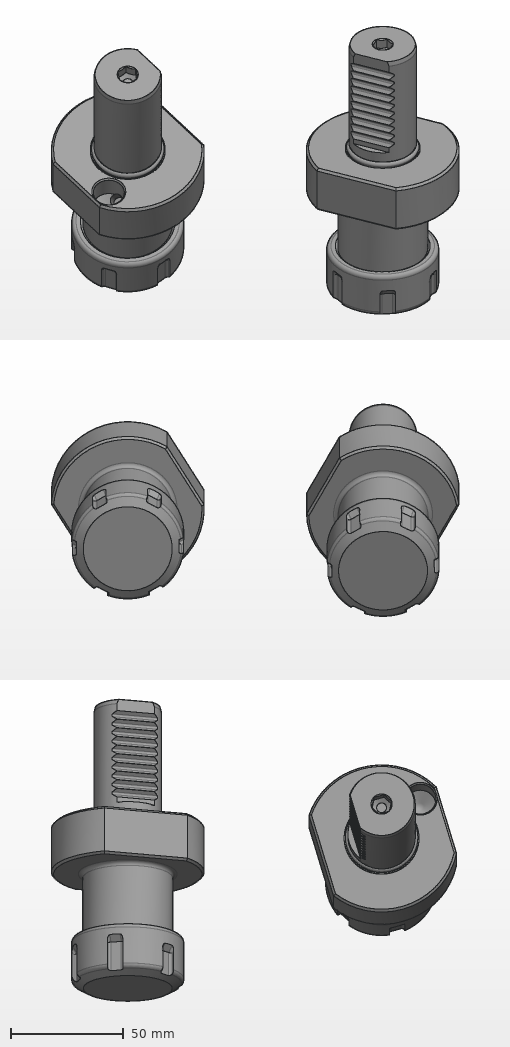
import cadquery as cq
import math


TOTAL_HEIGHT = 130.0
NUT_HEIGHT = 23.0
FLANGE_BOTTOM = 53.0
FLANGE_HEIGHT = 22.0
FLANGE_TOP = FLANGE_BOTTOM + FLANGE_HEIGHT

NUT_RADIUS = 25.0
NUT_FACE_RADIUS = 19.8
NUT_CONE_ANGLE = 30.0
NUT_CONE_FILLET = 2.2
NUT_TOP_FILLET = 2.0
NUT_BORE_CHAMFER = 1.0

SLOT_COUNT = 6
SLOT_WIDTH = 7.0
SLOT_FLOOR_RADIUS = 22.8
SLOT_EDGE_FILLET = 1.2
SLOT_RUNOUT_HEIGHT = 3.0
SHORT_SLOT_HEIGHT = 15.5
TALL_SLOT_HEIGHT = 18.0

NECK_RADIUS = 20.0
NECK_FILLET = 2.0
FLANGE_RADIUS = 68.0 / 2
FLANGE_FRONT_FLAT = 30.0
FLANGE_BACK_FLAT = 28.0
FLANGE_CHAMFER = 1.0

SHANK_RADIUS = 30.0 / 2
SHANK_TOP_CHAMFER_WIDTH = 0.5
SHANK_TOP_CHAMFER_HEIGHT = 2.1
SHANK_RELIEF_BOTTOM = FLANGE_TOP + 1.7
SHANK_RELIEF_SIZE = 0.6
SHANK_CORE_RADIUS = SHANK_RADIUS - SHANK_RELIEF_SIZE
SHANK_FLAT_Y = 12.2
SHANK_FLAT_BOTTOM = FLANGE_TOP + 7.2

SEAL_OUTER_RADIUS = 16.1
SEAL_TUBE_RADIUS = 1.4
SEAL_CENTER_Z = FLANGE_TOP + 0.4
SEAL_GROOVE_RADIUS = 16.6
SEAL_GROOVE_DEPTH = 0.8

NOTCH_COUNT = 10
FIRST_NOTCH_Z = FLANGE_TOP + 11.6
LAST_NOTCH_Z = FLANGE_TOP + 47.7
NOTCH_HALF_WIDTH = 2.0
NOTCH_ROOT_RADIUS = 0.9
NOTCH_WALL_ANGLE = 45.0

SOCKET_ACROSS_FLATS = 8.0
SOCKET_RIM_RADIUS = 4.7
SOCKET_RIM_DEPTH = 0.6
SOCKET_DEPTH = 4.4
SOCKET_END_RADIUS = 2.2
SOCKET_CONE_DEPTH = 1.5

PORT_PITCH_RADIUS = 25.0
PORT_ANGLE = -60.0
PORT_RADIUS = 6.9
PORT_DEPTH = 10.4
PORT_CHAMFER = 0.6
PORT_TIP_ANGLE = 118.0

CHANNEL_RADIUS = 2.7
CHANNEL_OFFSET_X = -0.5
CHANNEL_OFFSET_Y = 4.5
CHANNEL_TILT = 30.0
CHANNEL_LENGTH = 10.4


def cylinder(radius, bottom, height):
    return cq.Workplane("XY").workplane(offset=bottom).circle(radius).extrude(height)


def cone(bottom_radius, top_radius, bottom, height):
    """Cone or truncated cone on the Z axis."""
    solid = cq.Solid.makeCone(bottom_radius, top_radius, height, cq.Vector(0, 0, bottom))
    return cq.Workplane(obj=solid)


def circle_at(z):
    """Selector for the circular edge centred on the Z axis at height z."""
    return cq.selectors.NearestToPointSelector((0, 0, z))


def make_slot_cutter(height, angle):
    """Vertical slot open to the nut face, with a sloping run-out at its upper end."""
    floor_top = height - SLOT_RUNOUT_HEIGHT
    slot_depth = NUT_RADIUS - SLOT_FLOOR_RADIUS
    outer_radius = NUT_RADIUS + slot_depth
    profile = [
        (SLOT_FLOOR_RADIUS, -SLOT_RUNOUT_HEIGHT),
        (outer_radius, -SLOT_RUNOUT_HEIGHT),
        (outer_radius, height + SLOT_RUNOUT_HEIGHT),
        (SLOT_FLOOR_RADIUS, floor_top),
    ]
    cutter = cq.Workplane("XZ").polyline(profile).close().extrude(SLOT_WIDTH / 2, both=True)
    floor_sides = cutter.faces("<X").edges("|Z")
    runout_sides = cutter.faces(">Z").edges("not |Y")
    cutter = cutter.newObject(floor_sides.vals() + runout_sides.vals()).fillet(SLOT_EDGE_FILLET)
    return cutter.rotate((0, 0, 0), (0, 0, 1), angle)


def make_nut():
    cone_height = (NUT_RADIUS - NUT_FACE_RADIUS) * math.tan(math.radians(NUT_CONE_ANGLE))
    nut = cone(NUT_FACE_RADIUS, NUT_RADIUS, 0, cone_height)
    nut = nut.union(cylinder(NUT_RADIUS, cone_height, NUT_HEIGHT - cone_height))
    nut = nut.faces(">Z").edges().fillet(NUT_TOP_FILLET)
    nut = nut.edges(circle_at(cone_height)).fillet(NUT_CONE_FILLET)
    for index in range(SLOT_COUNT):
        angle = index * 360 / SLOT_COUNT
        height = SHORT_SLOT_HEIGHT if 90 < angle < 270 else TALL_SLOT_HEIGHT
        nut = nut.cut(make_slot_cutter(height, angle))
    groove = cone(
        NECK_RADIUS, NECK_RADIUS + NUT_BORE_CHAMFER, NUT_HEIGHT - NUT_BORE_CHAMFER, NUT_BORE_CHAMFER
    )
    return nut.cut(groove)


def make_flange_and_neck():
    flat_center_y = (FLANGE_BACK_FLAT - FLANGE_FRONT_FLAT) / 2
    slab = (
        cq.Workplane("XY")
        .workplane(offset=FLANGE_BOTTOM)
        .center(0, flat_center_y)
        .rect(2 * FLANGE_RADIUS, FLANGE_BACK_FLAT + FLANGE_FRONT_FLAT)
        .extrude(FLANGE_HEIGHT)
    )
    flange = cylinder(FLANGE_RADIUS, FLANGE_BOTTOM, FLANGE_HEIGHT).intersect(slab)
    flange = flange.faces("<Z or >Z").edges().chamfer(FLANGE_CHAMFER)
    neck_bottom = NUT_HEIGHT - NUT_BORE_CHAMFER
    neck = cylinder(NECK_RADIUS, neck_bottom, FLANGE_BOTTOM - neck_bottom)
    body = flange.union(neck).edges(circle_at(FLANGE_BOTTOM)).fillet(NECK_FILLET)
    groove_bottom = FLANGE_TOP - SEAL_GROOVE_DEPTH
    groove = cylinder(SEAL_GROOVE_RADIUS, groove_bottom, SEAL_GROOVE_DEPTH)
    groove = groove.cut(cylinder(SHANK_CORE_RADIUS, groove_bottom, SEAL_GROOVE_DEPTH))
    return body.cut(groove)


def make_notch_cutter(z):
    """Rounded V notch across the shank flat, with walls at 45 degrees to the flat."""
    tangent = NOTCH_ROOT_RADIUS * math.sin(math.radians(NOTCH_WALL_ANGLE))
    root_center_y = SHANK_FLAT_Y - NOTCH_HALF_WIDTH + NOTCH_ROOT_RADIUS * math.sqrt(2)
    tangent_y = root_center_y - tangent
    return (
        cq.Workplane("YZ")
        .moveTo(SHANK_FLAT_Y, z - NOTCH_HALF_WIDTH)
        .lineTo(tangent_y, z - tangent)
        .threePointArc((root_center_y - NOTCH_ROOT_RADIUS, z), (tangent_y, z + tangent))
        .lineTo(SHANK_FLAT_Y, z + NOTCH_HALF_WIDTH)
        .close()
        .extrude(SHANK_RADIUS, both=True)
    )


def make_shank():
    shank = (
        cq.Workplane("XZ")
        .moveTo(0, FLANGE_TOP)
        .lineTo(SHANK_CORE_RADIUS, FLANGE_TOP)
        .lineTo(SHANK_CORE_RADIUS, SHANK_RELIEF_BOTTOM)
        .lineTo(SHANK_RADIUS, SHANK_RELIEF_BOTTOM + SHANK_RELIEF_SIZE)
        .lineTo(SHANK_RADIUS, TOTAL_HEIGHT - SHANK_TOP_CHAMFER_HEIGHT)
        .lineTo(SHANK_RADIUS - SHANK_TOP_CHAMFER_WIDTH, TOTAL_HEIGHT)
        .lineTo(0, TOTAL_HEIGHT)
        .close()
        .revolve()
    )
    flat_cutter = cq.Workplane("XY").box(
        2 * SHANK_RADIUS,
        SHANK_RADIUS,
        TOTAL_HEIGHT - SHANK_FLAT_BOTTOM,
        centered=(True, False, False),
    )
    shank = shank.cut(flat_cutter.translate((0, SHANK_FLAT_Y, SHANK_FLAT_BOTTOM)))
    pitch = (LAST_NOTCH_Z - FIRST_NOTCH_Z) / (NOTCH_COUNT - 1)
    for index in range(NOTCH_COUNT):
        shank = shank.cut(make_notch_cutter(FIRST_NOTCH_Z + index * pitch))
    return shank


def make_seal_ring():
    ring = cq.Solid.makeTorus(
        SEAL_OUTER_RADIUS - SEAL_TUBE_RADIUS,
        SEAL_TUBE_RADIUS,
        cq.Vector(0, 0, SEAL_CENTER_Z),
    )
    return cq.Workplane(obj=ring)


def make_socket_cutter():
    """Hexagon with two corners on the Y axis, a chamfered rim and a conical floor."""
    corner_radius = SOCKET_ACROSS_FLATS / math.sqrt(3)
    floor_z = TOTAL_HEIGHT - SOCKET_DEPTH
    end_z = floor_z - SOCKET_CONE_DEPTH
    hexagon = (
        cq.Workplane("XY")
        .workplane(offset=end_z)
        .transformed(rotate=(0, 0, 90))
        .polygon(6, 2 * corner_radius)
        .extrude(SOCKET_DEPTH + SOCKET_CONE_DEPTH)
    )
    rim = cone(
        SOCKET_ACROSS_FLATS / 2, SOCKET_RIM_RADIUS, TOTAL_HEIGHT - SOCKET_RIM_DEPTH, SOCKET_RIM_DEPTH
    )
    envelope = cone(SOCKET_END_RADIUS, SOCKET_RIM_RADIUS, end_z, SOCKET_CONE_DEPTH)
    envelope = envelope.union(cylinder(SOCKET_RIM_RADIUS, floor_z, SOCKET_DEPTH))
    return hexagon.intersect(envelope).union(rim)


def make_port_cutter():
    """Chamfered drilled port with a conical floor and a slanted channel."""
    x = PORT_PITCH_RADIUS * math.cos(math.radians(PORT_ANGLE))
    y = PORT_PITCH_RADIUS * math.sin(math.radians(PORT_ANGLE))
    floor_z = FLANGE_TOP - PORT_DEPTH
    tip_height = PORT_RADIUS / math.tan(math.radians(PORT_TIP_ANGLE / 2))
    port = cylinder(PORT_RADIUS, floor_z, PORT_DEPTH)
    port = port.union(
        cone(PORT_RADIUS, PORT_RADIUS + PORT_CHAMFER, FLANGE_TOP - PORT_CHAMFER, PORT_CHAMFER)
    )
    port = port.union(cone(0, PORT_RADIUS, floor_z - tip_height, tip_height))
    inward_x = -x / PORT_PITCH_RADIUS
    inward_y = -y / PORT_PITCH_RADIUS
    tilt = math.radians(CHANNEL_TILT)
    channel = cq.Solid.makeCylinder(
        CHANNEL_RADIUS,
        CHANNEL_LENGTH,
        cq.Vector(CHANNEL_OFFSET_X, CHANNEL_OFFSET_Y, floor_z),
        cq.Vector(inward_x * math.sin(tilt), inward_y * math.sin(tilt), -math.cos(tilt)),
    )
    return port.union(cq.Workplane(obj=channel)).translate((x, y, 0))


result = make_nut().union(make_flange_and_neck()).union(make_shank()).union(make_seal_ring())
result = result.cut(make_socket_cutter()).cut(make_port_cutter())